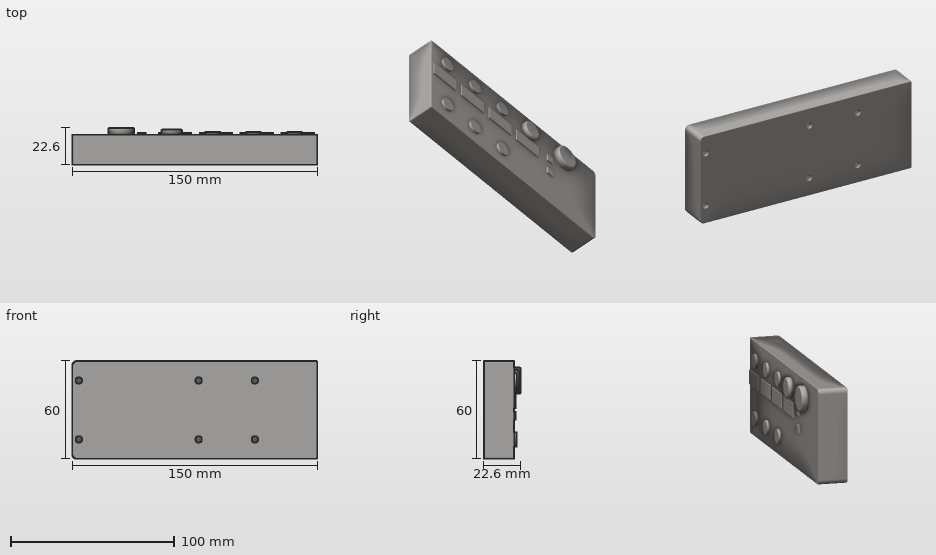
import cadquery as cq

length = 150.0
height = 60.0
depth = 18.6
left_corner_radius = 3.0
right_corner_radius = 1.0
edge_radius = 0.5

hole_diameter = 4.0
hole_depth = 6.0
hole_columns = (4.0, 77.4, 111.8)

row_inset = 12.0
lower_row = row_inset
upper_row = height - row_inset

dial_diameter = 16.0
dial_height = 4.0
dial_edge_radius = 1.0
dial_x = 30.0

channel_pitch = 25.0
first_channel_x = 60.9
channel_count = 4

selector_diameter = 13.0
selector_height = 3.2
selector_edge_radius = 1.4

knob_diameter = 9.0
knob_height = 1.6

pad_height = 1.0
display_width = 20.0
display_bottom = 31.0
display_top = 40.0
display_offset = 2.0
button_size = 5.0
button_x = 42.5
button_bottoms = (23.8, 35.1)


def make_housing():
    box = cq.Workplane("XY").box(length, depth, height, centered=False)
    box = box.edges("|Y and <X").fillet(left_corner_radius)
    box = box.edges("|Y and >X").fillet(right_corner_radius)
    box = box.faces("<Y").edges().fillet(edge_radius)
    return box.faces(">Y").edges().fillet(edge_radius)


def make_knob(x, z, diameter, rise, edge_radius=0.0):
    """Round knob rising from the rear face, with an optional rounded rim."""
    knob = cq.Workplane("XZ", origin=(x, depth, z)).circle(diameter / 2).extrude(-rise)
    if edge_radius > 0:
        knob = knob.faces(">Y").edges().fillet(edge_radius)
    return knob


def make_pad(center_x, bottom, width, pad_length):
    """Thin rectangular pad on the rear face."""
    pad = cq.Workplane("XY").box(width, pad_height, pad_length, centered=(True, False, False))
    return pad.translate((center_x, depth, bottom))


def make_mounting_holes():
    points = [(x, z) for x in hole_columns for z in (lower_row, upper_row)]
    return cq.Workplane("XZ").pushPoints(points).circle(hole_diameter / 2).extrude(-hole_depth)


result = make_housing().cut(make_mounting_holes())

result = result.union(make_knob(dial_x, upper_row, dial_diameter, dial_height, dial_edge_radius))
for button_bottom in button_bottoms:
    result = result.union(make_pad(button_x, button_bottom, button_size, button_size))

for channel in range(channel_count):
    channel_x = first_channel_x + channel * channel_pitch
    display_x = channel_x + display_offset
    result = result.union(make_pad(display_x, display_bottom, display_width, display_top - display_bottom))
    if channel == 0:
        selector = make_knob(
            channel_x, upper_row, selector_diameter, selector_height, selector_edge_radius
        )
        result = result.union(selector)
    else:
        for row in (lower_row, upper_row):
            result = result.union(make_knob(channel_x, row, knob_diameter, knob_height))